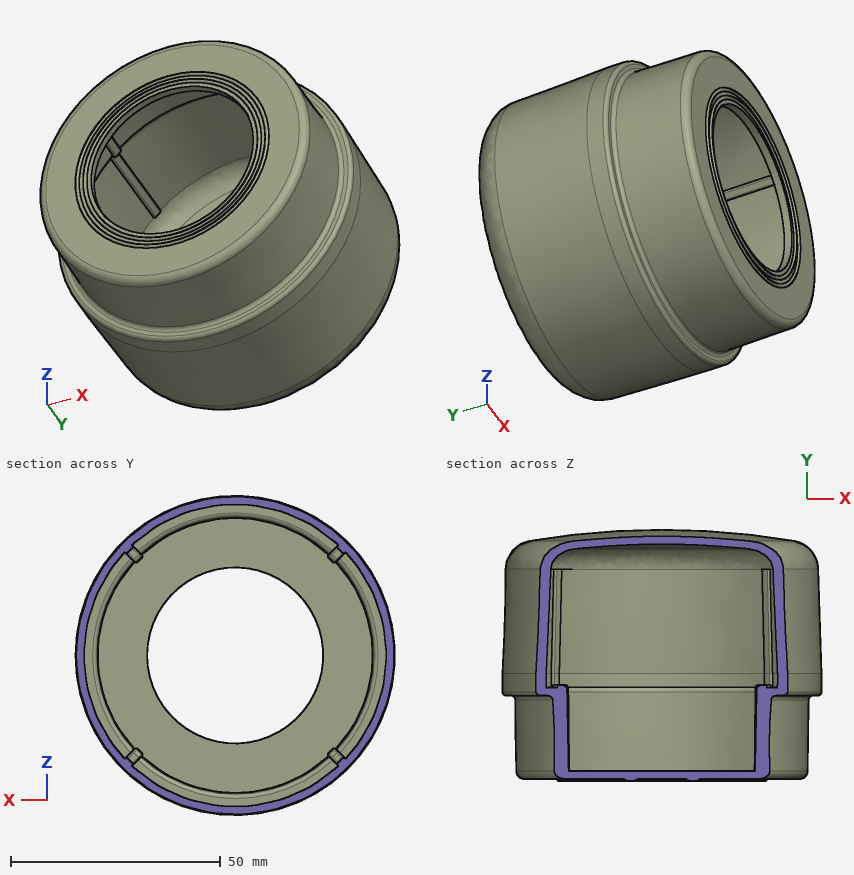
import cadquery as cq
import math

max_radius = 38.1
total_length = 60.0

bead_radius = 0.495
bead_center_radii = (24.55, 22.6)
bore_radius = 21.0

apex_y = total_length / 2
front_y = bead_radius - apex_y
shoulder_y = -9.6
taper_start_y = -4.3

skirt_front_radius = 34.8
skirt_root_radius = 35.1
dome_sphere_radius = 188.3
crown_radius = 37.1
crown_round = 7.0
shoulder_round = 1.0
front_round = 2.0

wall = 2.0
inner_step_y = shoulder_y + wall

rib_count = 4
rib_first_angle = 45.0
rib_width = 2.45
rib_height = 0.6
rib_round = 0.45
rib_end_y = 20.6

margin = 0.1


def dome_y(radius, inset=0.0):
    """Y of the dome, or of its surface inset inwards, at a distance from the axis."""
    sphere_radius = dome_sphere_radius - inset
    return apex_y - dome_sphere_radius + math.sqrt(sphere_radius**2 - radius**2)


def barrel_radius(y):
    """Outer radius of the tapered barrel."""
    share = (y - taper_start_y) / (dome_y(crown_radius) - taper_start_y)
    return max_radius + share * (crown_radius - max_radius)


def domed_body(base_y, step_y, inset):
    """Skirt, shoulder, tapered barrel and dome revolved about Y, with radii reduced by inset."""
    crown = crown_radius - inset
    return (
        cq.Workplane("XY")
        .moveTo(0, base_y)
        .lineTo(skirt_front_radius - inset, base_y)
        .lineTo(skirt_root_radius - inset, step_y)
        .lineTo(max_radius - inset, step_y)
        .lineTo(max_radius - inset, taper_start_y)
        .lineTo(crown, dome_y(crown, inset))
        .threePointArc((crown / 2, dome_y(crown / 2, inset)), (0, apex_y - inset))
        .close()
        .revolve(360, (0, 0), (0, 1))
    )


def round_edge(body, radius, y, size):
    """Round the circular edge of the given radius lying at the given Y."""
    outer = radius + margin
    box = cq.selectors.BoxSelector(
        (-outer, y - margin, -outer), (outer, y + margin, outer), boundingbox=True
    )
    circles = [
        edge
        for edge in body.edges(box).vals()
        if edge.geomType() == "CIRCLE" and edge.radius() > radius - margin
    ]
    return body.newObject(circles).fillet(size)


def outer_shell():
    body = domed_body(front_y, shoulder_y, 0)
    body = round_edge(body, crown_radius, dome_y(crown_radius), crown_round)
    body = round_edge(body, max_radius, shoulder_y, shoulder_round)
    body = round_edge(body, skirt_root_radius, shoulder_y, shoulder_round)
    return round_edge(body, skirt_front_radius, front_y, front_round)


def cavity():
    """Hollow that leaves an even wall, with a rounded step behind the shoulder."""
    body = domed_body(front_y + wall, inner_step_y, wall)
    crown = crown_radius - wall
    body = round_edge(body, crown, dome_y(crown, wall), crown_round - wall)
    return round_edge(body, skirt_root_radius - wall, inner_step_y, shoulder_round)


def bore():
    """Opening through the front wall into the cavity."""
    return cq.Workplane("XZ", origin=(0, front_y, 0)).circle(bore_radius).extrude(-2 * wall)


def rib():
    """One rib following the wall on the +X side, rooted halfway into it, free edges rounded."""
    inset = wall + rib_height
    root = wall / 2
    base_y = front_y + root
    step_y = inner_step_y + rib_height
    root_step_y = inner_step_y - root
    step_radius = skirt_root_radius - inset
    end_radius = barrel_radius(rib_end_y)
    body = (
        cq.Workplane("XY")
        .moveTo(skirt_front_radius - inset, base_y)
        .lineTo(step_radius, step_y)
        .lineTo(max_radius - inset, step_y)
        .lineTo(max_radius - inset, taper_start_y)
        .lineTo(end_radius - inset, rib_end_y)
        .lineTo(end_radius - root, rib_end_y)
        .lineTo(max_radius - root, taper_start_y)
        .lineTo(max_radius - root, root_step_y)
        .lineTo(skirt_root_radius - root, root_step_y)
        .lineTo(skirt_front_radius - root, base_y)
        .close()
        .extrude(rib_width / 2, both=True)
    )
    step_edge = cq.selectors.NearestToPointSelector((step_radius, step_y, 0))
    body = body.edges("|Z").edges(step_edge).fillet(shoulder_round)
    free_edges = cq.selectors.BoxSelector(
        (0, base_y + margin, -rib_width),
        (max_radius - inset + margin, rib_end_y - margin, rib_width),
    )
    return body.faces("|Z").edges(free_edges).fillet(rib_round)


def bead(center_radius):
    """Ring of round section, half sunk into the front face."""
    return (
        cq.Workplane("XY")
        .center(center_radius, front_y)
        .circle(bead_radius)
        .revolve(360, (-center_radius, 0), (-center_radius, 1))
    )


result = outer_shell().cut(cavity()).cut(bore())

wall_rib = rib()
for index in range(rib_count):
    angle = rib_first_angle + index * 360 / rib_count
    result = result.union(wall_rib.rotate((0, 0, 0), (0, 1, 0), angle))

for center_radius in bead_center_radii:
    result = result.union(bead(center_radius))